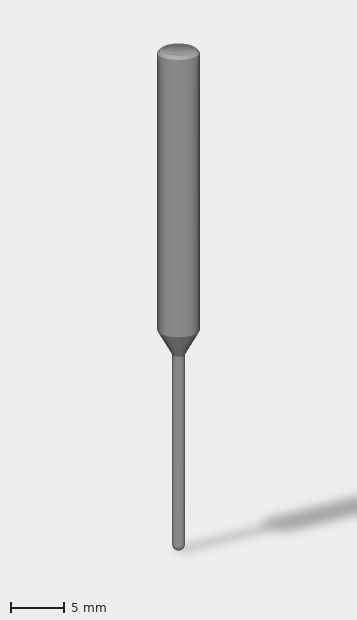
import cadquery as cq
import math

overall_length = 50.0
shank_diameter = 4.0
shank_length = 28.0
shank_chamfer = 0.3
taper_half_angle = 30.0
cutter_diameter = 1.2
cutter_length = 3.0

shank_radius = shank_diameter / 2
ball_radius = cutter_diameter / 2
neck_radius = ball_radius
taper_length = (shank_radius - neck_radius) / math.tan(math.radians(taper_half_angle))
taper_top_height = overall_length - shank_length
neck_top_height = taper_top_height - taper_length


def revolve_about_z(profile):
    """Turn a closed XZ profile (radius, height) about the Z axis."""
    return profile.close().revolve(360, (0, 0, 0), (0, 1, 0))


def make_cutter():
    """Cylindrical cutting head with a hemispherical nose."""
    arc_offset = ball_radius * math.sin(math.radians(45))
    profile = (
        cq.Workplane("XZ")
        .moveTo(0, 0)
        .threePointArc((arc_offset, ball_radius - arc_offset), (ball_radius, ball_radius))
        .lineTo(ball_radius, cutter_length)
        .lineTo(0, cutter_length)
    )
    return revolve_about_z(profile)


def make_shank():
    """Slim neck, conical taper and full-diameter shank with a chamfered end."""
    profile = (
        cq.Workplane("XZ")
        .moveTo(0, cutter_length)
        .lineTo(neck_radius, cutter_length)
        .lineTo(neck_radius, neck_top_height)
        .lineTo(shank_radius, taper_top_height)
        .lineTo(shank_radius, overall_length - shank_chamfer)
        .lineTo(shank_radius - shank_chamfer, overall_length)
        .lineTo(0, overall_length)
    )
    return revolve_about_z(profile)


cutter = make_cutter()
shank = make_shank()

result = cq.Compound.makeCompound([cutter.val(), shank.val()])